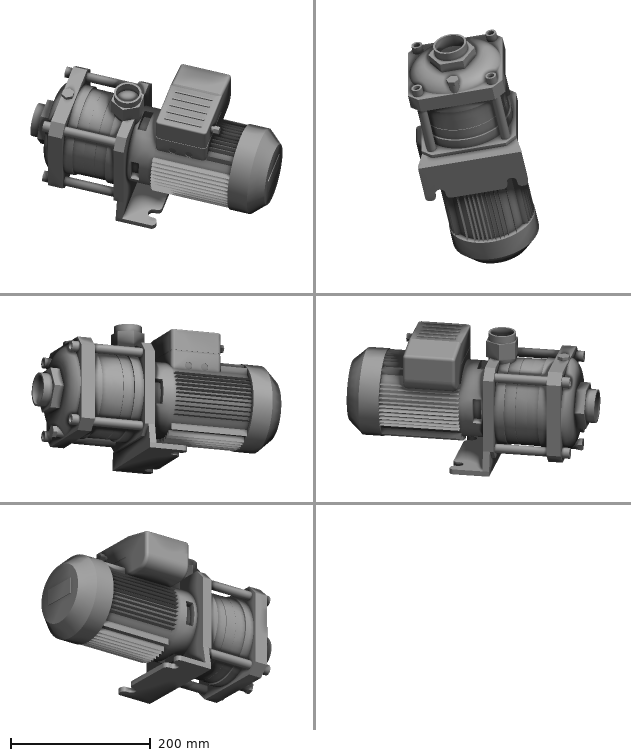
import cadquery as cq
import math


hex_start = 13.0
dish_start = 27.0
front_flange_start = 40.2
front_flange_end = 61.0
inlet_ring_end = 74.6
second_stage_start = 90.8
stages_end = 107.0
discharge_ring_start = 123.9
rear_flange_start = 138.0
rear_flange_end = 153.2
window_start = 158.5
window_end = 171.4
motor_start = 183.2
fins_start = 190.8
fan_cover_start = 306.7
fan_cover_cone = 336.0
fan_cover_end = 356.4
overall_length = 357.4

flange_side = 138.0
flange_chamfer = 15.0
ring_diameter = 130.0
first_stage_diameter = 125.0
second_stage_diameter = 124.6
lantern_diameter = 110.0
seam_width = 1.0
seam_depth = 1.0

inlet_diameter = 48.4
inlet_bore = 42.4
inlet_bore_depth = 19.0
inlet_hex_flats = 58.5
dish_flat_diameter = 86.6
dish_rim_diameter = 134.0

outlet_x = 138.3
outlet_diameter = 39.7
outlet_bore = 33.7
outlet_bore_depth = 14.0
outlet_hex_flats = 42.0
outlet_hex_bottom = flange_side / 2
outlet_hex_top = 93.3
outlet_top = 104.0

plug_flats = 16.0
vent_x = 48.7
vent_height = 5.0
drain_z = -60.0
drain_boss_diameter = 15.0
drain_head_start = 20.8
drain_head_length = 6.0
drain_turn = 15.0

window_half_angle = 19.5
window_floor_radius = 45.0
window_count = 4

foot_start = 143.3
foot_end = 201.7
foot_width = 150.0
foot_bottom = -90.0
foot_thickness = 7.5
foot_slot_y = 52.2
foot_slot_width = 15.0
foot_slot_end = 184.8
foot_corner_radius = 6.5

bolt_offset = 54.0
bolt_diameter = 13.45
bolt_head_diameter = 15.7
bolt_head_height = 11.0
bolt_socket_diameter = 10.0
bolt_socket_depth = 6.0
bolt_engagement = 12.0

fin_tip_radius = 62.0
fin_root_width = 2.1
frame_diameter = 109.4
fin_pitch_angle = 6.0
side_fin_steps = [0, 1, 2, 3, 4, 5]
vertical_fin_steps = [0, 1, 2, 3, 4, 6]
fan_cover_diameter = 126.0
fan_cover_end_diameter = 89.5
plate_width = 55.0
plate_height = 24.0
plate_z = 3.0

box_start = fins_start
box_length = 76.3
box_front = -37.8
box_back = 88.2
box_bottom = 36.0
box_top = 98.2
box_corner_radius = 5.2
box_rim_radius = 2.3
housing_front = 37.0
housing_crest_y = 39.8
housing_crest_z = 99.8
housing_slope = 10.0
housing_back_radius = 20.0
housing_edge_radius = 4.7
lid_seam_z = 66.3
lid_seam_height = 2.2
lid_seam_depth = 0.6
rib_length = 56.0
rib_width = 2.4
rib_height = 1.9
rib_pitch = 13.2
rib_count = 5
knockout_diameter = 11.0
knockout_depth = 1.0
knockout_z = 45.6
knockout_x = 216.7
knockout_spacing = 24.7
gland_y = -11.8
gland_z = 81.6
gland_shank_diameter = 9.0
gland_shank_length = 4.2
gland_hex_flats = 10.4
gland_hex_length = 8.0


def cylinder_x(start, end, diameter, y=0, z=0):
    """Cylinder along X between two stations."""
    return cq.Workplane("YZ", origin=(start, y, z)).circle(diameter / 2).extrude(end - start)


def hexagon(plane, flats, length, turn=0):
    """Hexagonal prism of a given width across flats, turned about its own axis."""
    corner_diameter = flats / math.cos(math.radians(30))
    return plane.transformed(rotate=(0, 0, turn)).polygon(6, corner_diameter).extrude(length)


def flange(start, end):
    """Square flange with chamfered corners."""
    block = cq.Workplane("YZ", origin=(start, 0, 0)).rect(flange_side, flange_side).extrude(end - start)
    return block.edges("|X").chamfer(flange_chamfer)


def bolt_shanks(start, end):
    """Four shank cylinders used to open the bolt holes."""
    corners = cq.Workplane("YZ", origin=(start, 0, 0))
    corners = corners.rect(2 * bolt_offset, 2 * bolt_offset, forConstruction=True).vertices()
    return corners.circle(bolt_diameter / 2).extrude(end - start)


def dished_end():
    """Flat-faced end whose round shoulder leaves the flat face tangentially."""
    profile = cq.Workplane("XY").moveTo(dish_start, 0).lineTo(dish_start, dish_flat_diameter / 2)
    profile = profile.tangentArcPoint((front_flange_start, dish_rim_diameter / 2), relative=False)
    profile = profile.lineTo(front_flange_start, 0).close()
    return profile.revolve(360, (0, 0, 0), (1, 0, 0))


def vent_plug():
    plane = cq.Workplane("XY", origin=(vent_x, 0, flange_side / 2))
    return hexagon(plane, plug_flats, vent_height, 30)


def drain_plug():
    plane = cq.Workplane("YZ", origin=(drain_head_start, 0, drain_z))
    head = hexagon(plane, plug_flats, drain_head_length, drain_turn)
    boss = cylinder_x(drain_head_start + drain_head_length, front_flange_start,
                      drain_boss_diameter, z=drain_z)
    return head.union(boss)


def make_inlet_casing():
    body = cylinder_x(0, hex_start, inlet_diameter)
    hex_plane = cq.Workplane("YZ", origin=(hex_start, 0, 0))
    body = body.union(hexagon(hex_plane, inlet_hex_flats, dish_start - hex_start))
    body = body.union(dished_end())
    body = body.union(flange(front_flange_start, front_flange_end))
    body = body.union(cylinder_x(front_flange_end, inlet_ring_end, ring_diameter))
    body = body.union(vent_plug()).union(drain_plug())
    body = body.cut(cylinder_x(0, inlet_bore_depth, inlet_bore))
    return body.cut(bolt_shanks(front_flange_start, front_flange_end))


def make_stage_casing():
    first_stage = cylinder_x(inlet_ring_end, second_stage_start, first_stage_diameter)
    return first_stage.union(cylinder_x(second_stage_start, stages_end, second_stage_diameter))


def outlet_port():
    pipe = cq.Workplane("XY", origin=(outlet_x, 0, 0)).circle(outlet_diameter / 2).extrude(outlet_top)
    hex_plane = cq.Workplane("XY", origin=(outlet_x, 0, outlet_hex_bottom))
    return pipe.union(hexagon(hex_plane, outlet_hex_flats, outlet_hex_top - outlet_hex_bottom, 30))


def lantern_window(angle):
    """Pocket with radial walls and a round floor, turned about the shaft axis."""
    reach = lantern_diameter
    half_width = reach * math.tan(math.radians(window_half_angle))
    wedge = cq.Workplane("YZ", origin=(window_start, 0, 0))
    wedge = wedge.polyline([(0, 0), (reach, -half_width), (reach, half_width)]).close()
    wedge = wedge.extrude(window_end - window_start)
    wedge = wedge.cut(cylinder_x(window_start, window_end, 2 * window_floor_radius))
    return wedge.rotate((0, 0, 0), (1, 0, 0), angle)


def foot():
    """Tapered upright below the rear flange with a base plate that has two open slots."""
    base_top = foot_bottom + foot_thickness
    upright_half = flange_side / 2
    shoulder_z = flange_chamfer - flange_side / 2
    upright = cq.Workplane("YZ", origin=(foot_start, 0, 0))
    upright = upright.polyline([
        (-upright_half, shoulder_z), (upright_half, shoulder_z),
        (foot_width / 2, base_top), (foot_width / 2, foot_bottom),
        (-foot_width / 2, foot_bottom), (-foot_width / 2, base_top)]).close()
    upright = upright.extrude(rear_flange_end - foot_start)
    base_length = foot_end - foot_start
    base = cq.Workplane("XY", origin=(foot_start, 0, foot_bottom))
    base = base.box(base_length, foot_width, foot_thickness, centered=(False, True, False))
    slot_radius = foot_slot_width / 2
    for side in (-1, 1):
        slot_plane = cq.Workplane("XY", origin=(foot_slot_end + slot_radius, side * foot_slot_y, foot_bottom))
        round_end = slot_plane.circle(slot_radius).extrude(foot_thickness)
        opening_length = foot_end - foot_slot_end - slot_radius
        opening = slot_plane.center(opening_length / 2, 0).rect(opening_length, foot_slot_width)
        base = base.cut(round_end).cut(opening.extrude(foot_thickness))
    base = base.edges("|Z and >X").fillet(foot_corner_radius)
    return upright.union(base)


def make_discharge_casing():
    seam_end = stages_end + seam_width
    body = cylinder_x(stages_end, seam_end, second_stage_diameter - 2 * seam_depth)
    body = body.union(cylinder_x(seam_end, discharge_ring_start, second_stage_diameter))
    body = body.union(cylinder_x(discharge_ring_start, rear_flange_start, ring_diameter))
    body = body.union(flange(rear_flange_start, rear_flange_end))
    body = body.union(cylinder_x(rear_flange_end, motor_start, lantern_diameter))
    for index in range(window_count):
        body = body.cut(lantern_window(index * 360 / window_count))
    body = body.union(outlet_port()).union(foot())
    outlet_floor = cq.Workplane("XY", origin=(outlet_x, 0, outlet_top))
    body = body.cut(outlet_floor.circle(outlet_bore / 2).extrude(-outlet_bore_depth))
    return body.cut(bolt_shanks(rear_flange_start, rear_flange_start + bolt_engagement))


def make_tie_bolt(y, z):
    head_start = front_flange_start - bolt_head_height
    bolt = cylinder_x(head_start, front_flange_start, bolt_head_diameter, y, z)
    shank_end = rear_flange_start + bolt_engagement
    bolt = bolt.union(cylinder_x(front_flange_start, shank_end, bolt_diameter, y, z))
    return bolt.cut(cylinder_x(head_start, head_start + bolt_socket_depth, bolt_socket_diameter, y, z))


def fin(step, start):
    """Upright pointed fin: its outer wall is vertical, its inner wall slopes to the frame.

    The middle fin (step 0) slopes on both sides.
    """
    core_radius = frame_diameter / 2
    buried = core_radius / 2
    tip_y = fin_tip_radius * math.sin(math.radians(step * fin_pitch_angle))
    tip_z = math.sqrt(fin_tip_radius**2 - tip_y**2)
    outer_y = tip_y if step else fin_root_width / 2
    inner_y = outer_y - fin_root_width
    inner_z = math.sqrt(core_radius**2 - inner_y**2)
    outline = [(outer_y, buried), (tip_y, tip_z), (inner_y, inner_z), (inner_y, buried)]
    if step == 0:
        outline.insert(1, (outer_y, inner_z))
    plane = cq.Workplane("YZ", origin=(start, 0, 0))
    return plane.polyline(outline).close().extrude(fan_cover_start - start)


def fin_bank(steps, start, angle):
    """Fins on both sides of the middle one, turned to one quarter of the frame."""
    fins = []
    for step in steps:
        one_fin = fin(step, start)
        fins.append(one_fin)
        if step:
            fins.append(one_fin.mirror("XZ"))
    return [one_fin.rotate((0, 0, 0), (1, 0, 0), angle).val() for one_fin in fins]


def fan_cover():
    profile = cq.Workplane("XY").polyline([
        (fan_cover_start, 0), (fan_cover_start, fan_cover_diameter / 2),
        (fan_cover_cone, fan_cover_diameter / 2), (fan_cover_end, fan_cover_end_diameter / 2),
        (fan_cover_end, 0)]).close()
    cover = profile.revolve(360, (0, 0, 0), (1, 0, 0))
    plate = cq.Workplane("YZ", origin=(fan_cover_end, 0, plate_z)).rect(plate_width, plate_height)
    return cover.union(plate.extrude(overall_length - fan_cover_end))


def make_motor():
    frame = cylinder_x(motor_start, fins_start, lantern_diameter)
    frame = frame.union(cylinder_x(fins_start, fan_cover_start, frame_diameter))
    top_fins = fin_bank(vertical_fin_steps, box_start + box_length, 0)
    bottom_fins = fin_bank(vertical_fin_steps, fins_start, 180)
    back_fins = fin_bank(side_fin_steps, fins_start, -90)
    front_fins = fin_bank(side_fin_steps, fins_start, 90)
    all_fins = top_fins + bottom_fins + back_fins + front_fins
    frame = cq.Workplane(frame.val().fuse(*all_fins))
    return frame.union(fan_cover())


def lidded_box():
    depth = housing_front + housing_edge_radius - box_front
    box = cq.Workplane("XY").box(box_length, depth, box_top - box_bottom, centered=False)
    box = box.translate((box_start, box_front, box_bottom))
    box = box.edges("|Z and <Y").fillet(box_corner_radius)
    top_edges = box.faces(">Z").edges("not >Y")
    return top_edges.fillet(box_rim_radius)


def sloped_housing():
    """Housing whose top falls away to the back, with a short bevel up from the lid to its crest."""
    drop = (box_back - housing_crest_y) * math.tan(math.radians(housing_slope))
    back_top = housing_crest_z - drop
    middle_z = (box_top + box_bottom) / 2
    profile = cq.Workplane("YZ", origin=(box_start, 0, 0)).polyline([
        (housing_front, box_bottom), (housing_front, box_top), (housing_crest_y, housing_crest_z),
        (box_back, back_top), (box_back, box_bottom)]).close()
    housing = profile.extrude(box_length)
    lower_back = cq.selectors.BoxSelector(
        (box_start, box_back - 1, box_bottom - 1), (box_start + box_length, box_back + 1, middle_z))
    upper_back = cq.selectors.BoxSelector(
        (box_start, box_back - 1, middle_z), (box_start + box_length, box_back + 1, back_top + 1))
    housing = housing.edges("|X").edges(lower_back).fillet(housing_back_radius)
    housing = housing.edges("|X").edges(upper_back).fillet(housing_edge_radius)
    rim = housing.faces("<X or >X").edges("not <Y").edges("not <Z")
    return rim.fillet(housing_edge_radius)


def lid_seam():
    reach = housing_front - box_front
    plane = cq.Workplane("XY", origin=(box_start, box_front, lid_seam_z - lid_seam_height / 2))
    outer = plane.rect(box_length, reach, centered=False).extrude(lid_seam_height)
    inner = plane.center(lid_seam_depth, lid_seam_depth)
    inner = inner.rect(box_length - 2 * lid_seam_depth, reach, centered=False).extrude(lid_seam_height)
    inner = inner.edges("|Z and <Y").fillet(box_corner_radius - lid_seam_depth)
    return outer.cut(inner)


def lid_ribs():
    plane = cq.Workplane("XY", origin=(box_start + box_length / 2, 0, box_top))
    return plane.rarray(1, rib_pitch, 1, rib_count).rect(rib_length, rib_width).extrude(rib_height)


def knockouts():
    plane = cq.Workplane("XZ", origin=(knockout_x, box_front, knockout_z))
    centers = [(0, 0), (knockout_spacing, 0)]
    return plane.pushPoints(centers).circle(knockout_diameter / 2).extrude(-knockout_depth)


def cable_gland():
    shank_start = box_start + box_length
    hex_at = shank_start + gland_shank_length
    shank = cylinder_x(shank_start, hex_at, gland_shank_diameter, gland_y, gland_z)
    hex_plane = cq.Workplane("YZ", origin=(hex_at, gland_y, gland_z))
    return shank.union(hexagon(hex_plane, gland_hex_flats, gland_hex_length))


def make_terminal_box():
    box = lidded_box().union(sloped_housing())
    box = box.cut(lid_seam()).cut(knockouts())
    box = box.cut(cylinder_x(box_start, box_start + box_length, frame_diameter))
    return box.union(lid_ribs()).union(cable_gland())


inlet_casing = make_inlet_casing()
stage_casing = make_stage_casing()
discharge_casing = make_discharge_casing()
motor = make_motor()
terminal_box = make_terminal_box()
bolt_sides = (-bolt_offset, bolt_offset)
tie_bolts = [make_tie_bolt(y, z) for y in bolt_sides for z in bolt_sides]

result = cq.Compound.makeCompound([
    inlet_casing.val(),
    stage_casing.val(),
    discharge_casing.val(),
    motor.val(),
    terminal_box.val(),
    *[bolt.val() for bolt in tie_bolts],
])